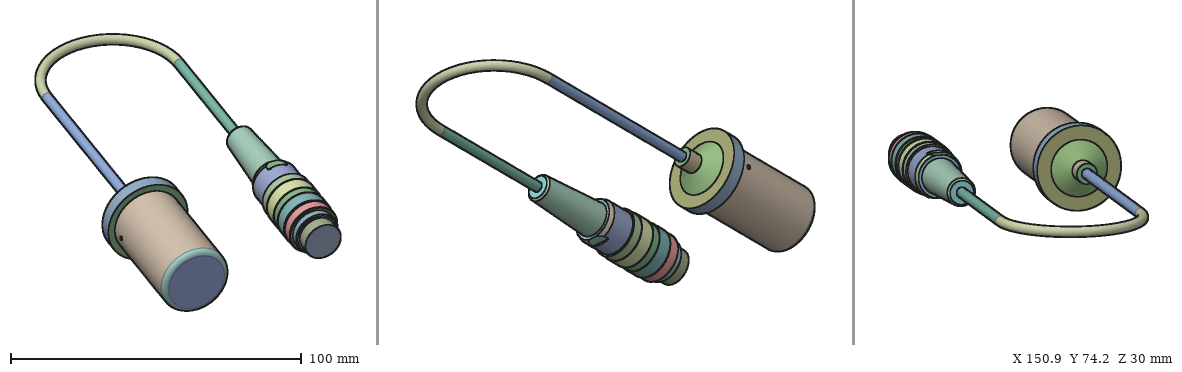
import cadquery as cq


axis_spacing = 50.0
bend_radius = axis_spacing / 2
plug_y = bend_radius
sensor_y = -bend_radius
cable_diameter = 3.8

boot_tip_x = 49.8
boot_root_x = 77.9
boot_tip_diameter = 10.0
boot_root_diameter = 13.0
boot_chamfer = 0.8

nut_front_x = 89.2
nut_diameter = 16.7
nut_back_diameter = 15.4
nut_chamfer_length = 2.0
flat_length = 4.0
flat_spacing = 15.1

first_grip_x = 93.0
first_grip_length = 5.7
second_grip_x = 102.0
second_grip_length = 5.7
sleeve_front_x = 111.8
sleeve_diameter = 18.1
grip_diameter = 18.5
sleeve_chamfer = 0.23
second_grip_taper = 0.5

nose_shoulder_x = 115.0
nose_front_x = 119.6
nose_shoulder_diameter = 15.8
nose_shoulder_chamfer = 0.5
nose_diameter = 13.5

gland_back_x = 68.8
cone_start_x = 74.7
gland_diameter = 7.2
cone_diameter = 20.0

flange_back_x = 78.8
flange_length = 5.1
flange_diameter = 30.0
barrel_front_x = 124.0
barrel_diameter = 25.0
barrel_fillet = 2.0
dimple_x = 89.0
dimple_diameter = 1.5
dimple_depth = 0.2


def turned(profile, axis_y):
    """Solid turned about the line Y = axis_y along X; the profile lists (x, radius) points."""
    first_x = profile[0][0]
    last_x = profile[-1][0]
    outline = [(first_x, 0), *profile, (last_x, 0)]
    solid = cq.Workplane("XY").polyline(outline).close().revolve(360, (0, 0), (1, 0))
    return solid.translate((0, axis_y, 0))


def rod(diameter, start_x, end_x, axis_y):
    """Plain cylinder along X."""
    return cq.Workplane("YZ", origin=(start_x, axis_y, 0)).circle(diameter / 2).extrude(end_x - start_x)


def make_cable():
    """Round cable from the root of the boot, around the bend, to the cone of the gland."""
    path = (
        cq.Workplane("XY")
        .moveTo(boot_root_x, plug_y)
        .lineTo(0, plug_y)
        .threePointArc((-bend_radius, 0), (0, sensor_y))
        .lineTo(cone_start_x, sensor_y)
    )
    section = cq.Workplane("YZ", origin=(boot_root_x, plug_y, 0)).circle(cable_diameter / 2)
    return section.sweep(path)


def make_boot():
    """Tapered boot with a bore for the cable."""
    tip_radius = boot_tip_diameter / 2
    boot = turned(
        [
            (boot_tip_x, tip_radius - boot_chamfer),
            (boot_tip_x + boot_chamfer, tip_radius),
            (boot_root_x, boot_root_diameter / 2),
        ],
        plug_y,
    )
    return boot.cut(rod(cable_diameter, boot_tip_x, boot_root_x, plug_y))


def make_nut():
    """Collet nut, chamfered at the back, with flats on its +Z and -Z sides."""
    nut_radius = nut_diameter / 2
    nut = turned(
        [
            (boot_root_x, nut_back_diameter / 2),
            (boot_root_x + nut_chamfer_length, nut_radius),
            (nut_front_x, nut_radius),
        ],
        plug_y,
    )
    flat_offset = (flat_spacing + nut_diameter) / 2
    for side in (1, -1):
        flat_centre = (boot_root_x + flat_length / 2, plug_y, side * flat_offset)
        nut = nut.cut(cq.Workplane("XY").box(flat_length, nut_diameter, nut_diameter).translate(flat_centre))
    return nut


def make_sleeve():
    """Coupling sleeve; the front grip band tapers at its front end."""
    sleeve = rod(sleeve_diameter, nut_front_x, sleeve_front_x, plug_y)
    sleeve = sleeve.faces(">X").edges().chamfer(sleeve_chamfer)
    first_grip = rod(grip_diameter, first_grip_x, first_grip_x + first_grip_length, plug_y)
    grip_radius = grip_diameter / 2
    second_grip_end_x = second_grip_x + second_grip_length
    second_grip = turned(
        [
            (second_grip_x, grip_radius),
            (second_grip_end_x - second_grip_taper, grip_radius),
            (second_grip_end_x, sleeve_diameter / 2),
        ],
        plug_y,
    )
    return sleeve.union(first_grip).union(second_grip)


def make_nose():
    """Stepped nose at the front of the plug."""
    shoulder = rod(nose_shoulder_diameter, sleeve_front_x, nose_shoulder_x, plug_y)
    shoulder = shoulder.faces(">X").edges().chamfer(nose_shoulder_chamfer)
    return shoulder.union(rod(nose_diameter, nose_shoulder_x, nose_front_x, plug_y))


def make_gland():
    """Cable gland that widens into a cone against the flange."""
    gland_radius = gland_diameter / 2
    gland = turned(
        [
            (gland_back_x, gland_radius),
            (cone_start_x, gland_radius),
            (flange_back_x, cone_diameter / 2),
        ],
        sensor_y,
    )
    return gland.cut(rod(cable_diameter, gland_back_x, cone_start_x, sensor_y))


def make_housing():
    """Flanged sensor barrel, rounded at the front, with a small dimple on its -Y side."""
    barrel = rod(barrel_diameter, flange_back_x, barrel_front_x, sensor_y)
    barrel = barrel.faces(">X").edges().fillet(barrel_fillet)
    housing = barrel.union(rod(flange_diameter, flange_back_x, flange_back_x + flange_length, sensor_y))
    dimple_floor_y = sensor_y - barrel_diameter / 2 + dimple_depth
    dimple = cq.Workplane("XZ", origin=(dimple_x, dimple_floor_y, 0)).circle(dimple_diameter / 2)
    return housing.cut(dimple.extrude(2 * dimple_depth))


cable = make_cable()
boot = make_boot()
nut = make_nut()
sleeve = make_sleeve()
nose = make_nose()
gland = make_gland()
housing = make_housing()

result = cq.Compound.makeCompound([
    cable.val(),
    boot.val(),
    nut.val(),
    sleeve.val(),
    nose.val(),
    gland.val(),
    housing.val(),
])